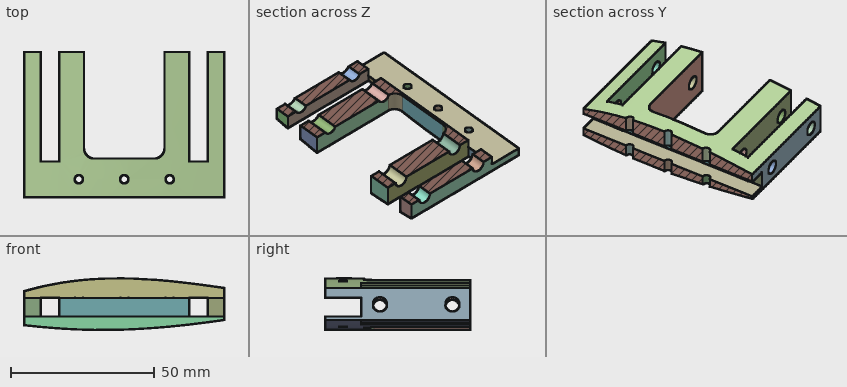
import cadquery as cq

length = 70.0
depth = 50.8
half_length = length / 2
front_y = -depth / 2
rear_y = depth / 2

upper_profile = [(-half_length, 5.6), (-21.0, 8.7), (-2.1, 10.1), (16.8, 9.0), (half_length, 6.7)]
lower_profile = [(-half_length, -6.4), (-21.0, -7.6), (-6.3, -8.05), (11.2, -7.3), (half_length, -4.55)]

groove_size = 6.45
slot_width = groove_size
outer_arm_width = 5.8
front_bar_depth = 12.6
slot_center_x = half_length - outer_arm_width - slot_width / 2

opening_width = 28.0
opening_floor_y = front_y + 13.6
opening_corner_radius = 3.5

bar_hole_diameter = 2.8
bar_hole_pitch = 15.9
bar_hole_y = front_y + 6.3

arm_hole_diameter = 5.0
arm_hole_pitch = 25.35
rear_arm_hole_y = rear_y - 6.3
left_hole_z = 0.0
right_hole_z = 1.0

cut_height = 28.0


def crowned_body():
    """Extrude the crowned profile from front to rear."""
    return (
        cq.Workplane("XZ", origin=(0, rear_y, 0))
        .moveTo(*upper_profile[0])
        .spline(upper_profile[1:], includeCurrent=True)
        .lineTo(*lower_profile[-1])
        .spline(lower_profile[-2::-1], includeCurrent=True)
        .close()
        .extrude(depth)
    )


def rear_notch(center_x, width, floor_y):
    """Full-height notch open at the rear."""
    notch_depth = rear_y - floor_y
    return (
        cq.Workplane("XY")
        .box(width, notch_depth, cut_height)
        .translate((center_x, floor_y + notch_depth / 2, 0))
    )


def arm_holes(start_x, z):
    """Pair of cross holes running half the part length from start_x."""
    return (
        cq.Workplane("YZ", origin=(start_x, 0, z))
        .pushPoints([(rear_arm_hole_y, 0), (rear_arm_hole_y - arm_hole_pitch, 0)])
        .circle(arm_hole_diameter / 2)
        .extrude(half_length)
    )


result = crowned_body()

for side in (-1, 1):
    result = result.cut(rear_notch(side * slot_center_x, slot_width, front_y + front_bar_depth))
opening = rear_notch(0, opening_width, opening_floor_y)
opening = opening.edges("|Z and <Y").fillet(opening_corner_radius)
result = result.cut(opening)

groove = (
    cq.Workplane("XY")
    .box(length, front_bar_depth, groove_size)
    .translate((0, front_y + front_bar_depth / 2, 0))
)
result = result.cut(groove)

bar_holes = (
    cq.Workplane("XY", origin=(0, bar_hole_y, -cut_height / 2))
    .rarray(bar_hole_pitch, 0.7, 3, 1)
    .circle(bar_hole_diameter / 2)
    .extrude(cut_height)
)
result = result.cut(bar_holes)

result = result.cut(arm_holes(-half_length, left_hole_z))
result = result.cut(arm_holes(0, right_hole_z))